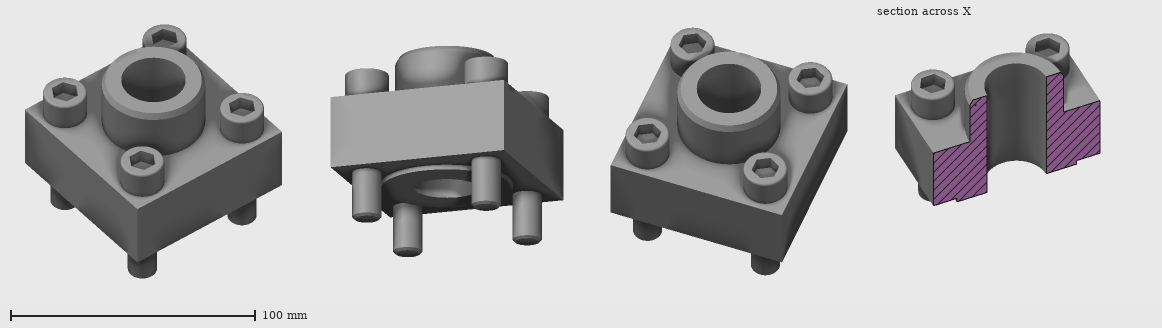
import cadquery as cq
import math

plate_side = 75.0
plate_thickness = 30.0

hub_diameter = 42.4
hub_height = 23.0
hub_bevel_height = 2.5
hub_bevel_angle = 30.0

collar_diameter = 54.0
collar_height = 2.0
bore_diameter = 26.4

pitch_circle_diameter = 73.0
screw_diameter = 12.0
screw_length = 50.0
screw_tip_chamfer = 1.05
head_diameter = 18.0
head_height = screw_diameter
head_fillet = 1.0
socket_across_flats = 10.0
socket_depth = head_height / 2

hub_top = plate_thickness + hub_height
hub_bevel_width = hub_bevel_height * math.tan(math.radians(hub_bevel_angle))
head_top = plate_thickness + head_height
screw_offset = pitch_circle_diameter / 2 * math.cos(math.radians(45))
socket_across_corners = socket_across_flats / math.cos(math.radians(30))


def cylinder(diameter, bottom, top):
    """Cylinder on the Z axis between two heights."""
    return cq.Workplane("XY").workplane(offset=bottom).circle(diameter / 2).extrude(top - bottom)


def make_plate():
    """Square plate standing on Z = 0."""
    return cq.Workplane("XY").box(plate_side, plate_side, plate_thickness, centered=(True, True, False))


def make_hub():
    """Solid hub with a weld bevel around its upper rim."""
    radius = hub_diameter / 2
    return (
        cq.Workplane("XZ")
        .moveTo(0, plate_thickness)
        .lineTo(radius, plate_thickness)
        .lineTo(radius, hub_top - hub_bevel_height)
        .lineTo(radius - hub_bevel_width, hub_top)
        .lineTo(0, hub_top)
        .close()
        .revolve(360, (0, 0), (0, 1))
    )


def make_screw():
    """Cap screw on the Z axis, its head seated on the plate; two socket corners point along Y."""
    shank = cylinder(screw_diameter, plate_thickness - screw_length, plate_thickness)
    shank = shank.faces("<Z").chamfer(screw_tip_chamfer)
    head = cylinder(head_diameter, plate_thickness, head_top)
    head = head.faces(">Z").edges().fillet(head_fillet)
    socket = (
        cq.Workplane("XY")
        .workplane(offset=head_top - socket_depth)
        .transformed(rotate=(0, 0, 90))
        .polygon(6, socket_across_corners)
        .extrude(socket_depth)
    )
    return shank.union(head).cut(socket)


body = make_plate().union(make_hub())
body = body.union(cylinder(collar_diameter, -collar_height, 0))
body = body.cut(cylinder(bore_diameter, -collar_height, hub_top))

screw = make_screw()
for x_side in (-1, 1):
    for y_side in (-1, 1):
        body = body.union(screw.translate((x_side * screw_offset, y_side * screw_offset, 0)))

result = body